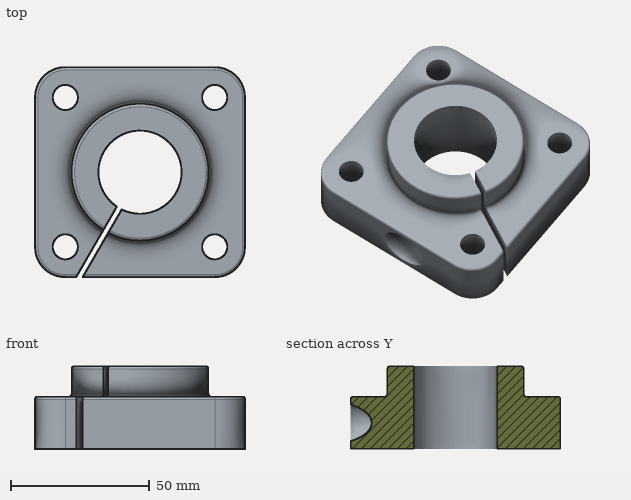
import cadquery as cq
import math

BASE_SIDE = 76.0
BASE_HEIGHT = 19.0
CORNER_RADIUS = 11.0
EDGE_ROUND = 1.0

TOTAL_HEIGHT = 30.0
BOSS_HEIGHT = TOTAL_HEIGHT - BASE_HEIGHT
BOSS_DIAMETER = 49.5
BORE_DIAMETER = 30.0

MOUNT_HOLE_DIAMETER = 9.0
MOUNT_HOLE_SPACING = BASE_SIDE - 2 * CORNER_RADIUS

SLIT_WIDTH = 2.0
SLIT_TILT_DEG = 30.0
SLIT_LENGTH = BASE_SIDE

SCREW_RADIAL_OFFSET = 22.7
SCREW_HEIGHT = BASE_HEIGHT / 2
SCREW_HEAD_DIAMETER = 15.0
SCREW_CLEARANCE_DIAMETER = 9.0
SCREW_TAP_DIAMETER = 6.65
HEAD_SEAT_TO_SLIT = 17.0
TAP_DEPTH = 20.0
HEAD_BORE_LENGTH = BASE_SIDE / 2

SLIT_TILT = math.radians(SLIT_TILT_DEG)
SLIT_DIRECTION = cq.Vector(-math.sin(SLIT_TILT), -math.cos(SLIT_TILT), 0)
SCREW_DIRECTION = cq.Vector(math.cos(SLIT_TILT), -math.sin(SLIT_TILT), 0)


def flange_base():
    base = (
        cq.Workplane("XY")
        .rect(BASE_SIDE, BASE_SIDE)
        .extrude(BASE_HEIGHT)
        .edges("|Z")
        .fillet(CORNER_RADIUS)
    )
    return base.faces(">Z").edges().fillet(EDGE_ROUND)


def add_boss(body):
    boss = (
        cq.Workplane("XY")
        .workplane(offset=BASE_HEIGHT)
        .circle(BOSS_DIAMETER / 2)
        .extrude(BOSS_HEIGHT)
    )
    joined = body.union(boss)
    reach = BOSS_DIAMETER / 2 + EDGE_ROUND
    box_low = (-reach, -reach, BASE_HEIGHT - EDGE_ROUND)
    box_high = (reach, reach, TOTAL_HEIGHT + EDGE_ROUND)
    rim_and_foot = joined.edges(cq.selectors.BoxSelector(box_low, box_high, boundingbox=True))
    return rim_and_foot.fillet(EDGE_ROUND)


def vertical_holes():
    bore = cq.Workplane("XY").circle(BORE_DIAMETER / 2).extrude(TOTAL_HEIGHT)
    mounts = (
        cq.Workplane("XY")
        .rect(MOUNT_HOLE_SPACING, MOUNT_HOLE_SPACING, forConstruction=True)
        .vertices()
        .circle(MOUNT_HOLE_DIAMETER / 2)
        .extrude(BASE_HEIGHT)
    )
    return bore.union(mounts)


def clamping_slit():
    slit_plane = cq.Plane(origin=(0, 0, 0), xDir=SLIT_DIRECTION, normal=(0, 0, 1))
    return (
        cq.Workplane(slit_plane)
        .rect(SLIT_LENGTH, SLIT_WIDTH, centered=(False, True))
        .extrude(TOTAL_HEIGHT)
    )


def screw_bore(diameter, start, length):
    """Cylinder on the screw axis; start is measured from the slit mid-plane."""
    axis_point = SLIT_DIRECTION * SCREW_RADIAL_OFFSET + cq.Vector(0, 0, SCREW_HEIGHT)
    start_point = axis_point + SCREW_DIRECTION * start
    return cq.Solid.makeCylinder(diameter / 2, length, start_point, SCREW_DIRECTION)


def add_clamping_screw_hole(body):
    head_start = -HEAD_SEAT_TO_SLIT - HEAD_BORE_LENGTH
    return (
        body.cut(screw_bore(SCREW_HEAD_DIAMETER, head_start, HEAD_BORE_LENGTH))
        .cut(screw_bore(SCREW_CLEARANCE_DIAMETER, -HEAD_SEAT_TO_SLIT, HEAD_SEAT_TO_SLIT))
        .cut(screw_bore(SCREW_TAP_DIAMETER, 0, TAP_DEPTH))
    )


body = add_boss(flange_base())
body = body.cut(vertical_holes())
body = body.cut(clamping_slit())
result = add_clamping_screw_hole(body)